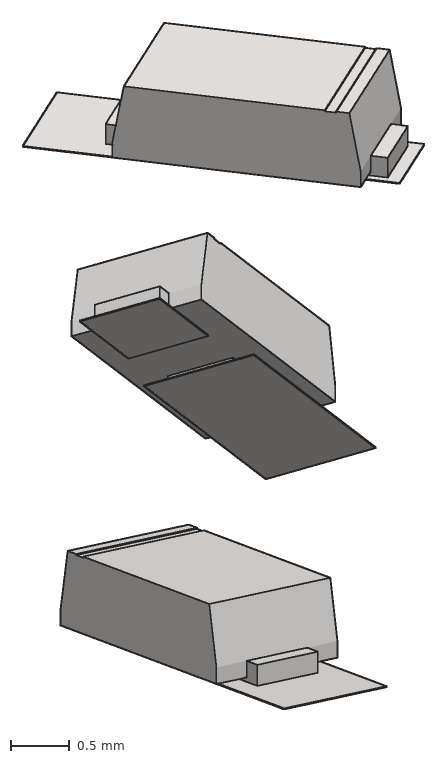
import cadquery as cq

total_height = 0.74
pad_thickness = 0.01
body_bottom = 0.05
lead_top = 0.198

body_length = 2.2
body_top_length = 2.0
body_width = 1.3

groove_start = 0.782
groove_width = 0.1
groove_depth = 0.01

lead_span = 2.5
lead_width = 0.65
left_lead_inner_end = 0.05
right_lead_inner_end = 0.605

pad_span = 3.3
left_pad_start = -1.925
left_pad_length = 2.0
left_pad_width = 1.1
right_pad_length = 0.8
right_pad_width = 0.8


def block(x_start, x_end, width, z_start, z_end):
    """Box centred in Y between the given X and Z limits."""
    return cq.Workplane("XY").box(
        x_end - x_start, width, z_end - z_start, centered=(False, True, False)
    ).translate((x_start, 0, z_start))


def make_body():
    """Body with upright lower ends and sloping upper ends."""
    half_base = body_length / 2
    half_top = body_top_length / 2
    profile = [
        (-half_base, body_bottom),
        (half_base, body_bottom),
        (half_base, lead_top),
        (half_top, total_height),
        (-half_top, total_height),
        (-half_base, lead_top),
    ]
    body = cq.Workplane("XZ").polyline(profile).close().extrude(body_width / 2, both=True)
    groove = block(
        groove_start, groove_start + groove_width, body_width,
        total_height - groove_depth, total_height,
    )
    return body.cut(groove)


def make_leads():
    """Left and right leads, running under the body and out past its ends."""
    half_span = lead_span / 2
    left = block(-half_span, left_lead_inner_end, lead_width, pad_thickness, lead_top)
    right = block(right_lead_inner_end, half_span, lead_width, pad_thickness, lead_top)
    return left.union(right)


def make_pads():
    """Thin pads beneath the leads; the left one is longer and wider."""
    left_end = left_pad_start + left_pad_length
    right_end = left_pad_start + pad_span
    left = block(left_pad_start, left_end, left_pad_width, 0, pad_thickness)
    right = block(right_end - right_pad_length, right_end, right_pad_width, 0, pad_thickness)
    return left.union(right)


result = make_body().union(make_leads()).union(make_pads())